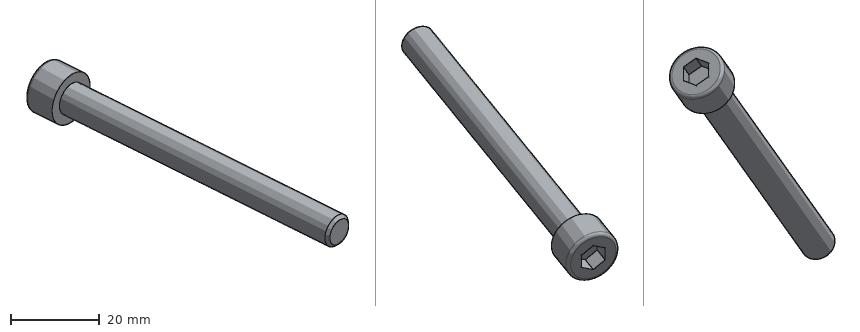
import cadquery as cq
import math

total_length = 88.0
head_diameter = 13.0
head_length = 8.0
head_edge_radius = 0.8
shank_diameter = 8.0
tip_chamfer = 0.8
socket_across_flats = 6.0
socket_depth = 4.0

head_face_x = -total_length / 2


def make_head():
    """Cylindrical head with a rounded outer edge."""
    head = cq.Workplane("YZ", origin=(head_face_x, 0, 0)).circle(head_diameter / 2).extrude(head_length)
    return head.faces("<X").edges().fillet(head_edge_radius)


def make_shank():
    """Plain shank with a chamfered tip, running through the core of the head."""
    shank = cq.Workplane("YZ", origin=(head_face_x, 0, 0)).circle(shank_diameter / 2).extrude(total_length)
    return shank.faces(">X").edges().chamfer(tip_chamfer)


def make_socket():
    """Hexagonal drive recess with two corners on the Z axis."""
    across_corners = socket_across_flats / math.cos(math.pi / 6)
    socket = cq.Workplane("YZ", origin=(head_face_x, 0, 0)).polygon(6, across_corners).extrude(socket_depth)
    return socket.rotate((0, 0, 0), (1, 0, 0), 90)


result = make_head().union(make_shank()).cut(make_socket())